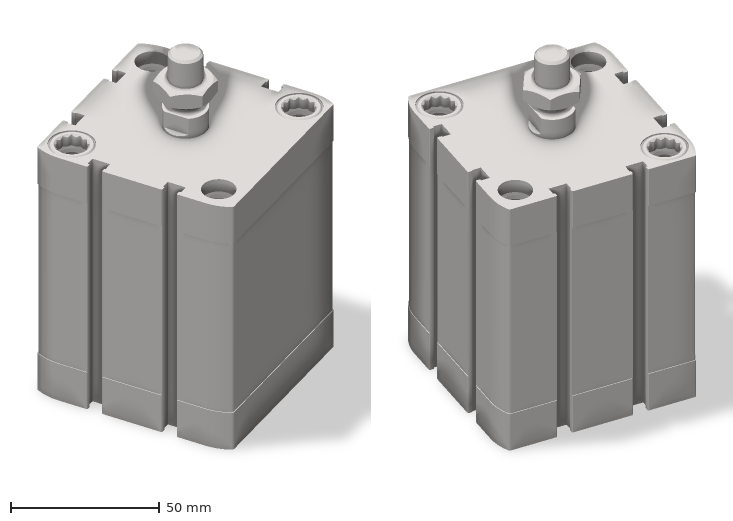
import cadquery as cq
import math

CAP_SIDE = 75.5
BARREL_SIDE = 75.0
HOUSING_HEIGHT = 99.0
CAP_HEIGHT = 15.0
CORNER_RISE = 2.4
CORNER_RUN = 9.45
EDGE_ROUND = 1.0

SLOT_CENTRE = 14.5
SLOT_WIDTH = 6.8
SLOT_DEPTH = 5.1
MOUTH_CENTRE = 14.35
MOUTH_WIDTH = 5.6
LIP_CHAMFER = 0.3
LIP_DEPTH = 1.75

HOLE_SPACING = 56.5
HOLE_DIA = 6.65
HOLE_CHAMFER_DIA = 8.57
COUNTERBORE_DIA = 12.0
COUNTERBORE_DEPTH = 5.0

HEAD_DIA = 15.5
HEAD_CHAMFER = 0.5
HEAD_POCKET_DIA = 16.4
SOCKET_POINTS = 12
SOCKET_MOUTH_DIA = 12.4
SOCKET_OUTER_DIA = 12.0
SOCKET_INNER_DIA = 10.65
SOCKET_DEPTH = 4.5

ROD_DIA = 16.0
ROD_COLLAR_HEIGHT = 8.0
FLAT_WIDTH = 13.0
FLAT_BASE = 1.5
FLAT_RUNOUT = 0.8
THREAD_DIA = 12.0
THREAD_LENGTH = 22.0
THREAD_CHAMFER = 0.9
NECK_DIA = 10.2
NECK_FILLET = 1.0
NECK_LENGTH = 1.6
NECK_CONE_LENGTH = 2.8

NUT_ACROSS_FLATS = 19.0
NUT_HEIGHT = 6.0
NUT_STANDOFF = 13.0
NUT_FACE_DIA = 19.0
NUT_BASE = HOUSING_HEIGHT + NUT_STANDOFF
NUT_CHAMFER_ANGLE = math.radians(30)

HALF_PITCH = HOLE_SPACING / 2
PLAIN_CORNERS = [(-HALF_PITCH, HALF_PITCH), (HALF_PITCH, -HALF_PITCH)]
SCREW_CORNERS = [(-HALF_PITCH, -HALF_PITCH), (HALF_PITCH, HALF_PITCH)]


def housing_section(side, base, height):
    """Square prism whose corners are arcs tangent to the Y faces only."""
    half = side / 2
    run = CORNER_RUN - (CAP_SIDE - side) / 2
    radius = (run**2 + CORNER_RISE**2) / (2 * CORNER_RISE)
    inner = half - run
    outer = half - CORNER_RISE
    outline = (
        cq.Workplane("XY", origin=(0, 0, base))
        .moveTo(-inner, -half)
        .lineTo(inner, -half)
        .radiusArc((half, -outer), -radius)
        .lineTo(half, outer)
        .radiusArc((inner, half), -radius)
        .lineTo(-inner, half)
        .radiusArc((-half, outer), -radius)
        .lineTo(-half, -outer)
        .radiusArc((-inner, -half), -radius)
        .close()
    )
    prism = outline.extrude(height)
    corner_edges = cq.selectors.BoxSelector(
        (half - EDGE_ROUND, -half, base), (half + EDGE_ROUND, half, base + height)
    ) + cq.selectors.BoxSelector(
        (-half - EDGE_ROUND, -half, base), (-half + EDGE_ROUND, half, base + height)
    )
    return prism.edges("|Z").edges(corner_edges).fillet(EDGE_ROUND)


def t_slot(turn, side_sign):
    """T-slot cutter for the -Y face, turned about Z onto another face."""
    half = CAP_SIDE / 2
    groove_depth = SLOT_DEPTH - LIP_DEPTH
    groove = cq.Workplane("XY").box(
        SLOT_WIDTH, groove_depth, HOUSING_HEIGHT, centered=(True, False, False)
    ).translate((side_sign * SLOT_CENTRE, -half + LIP_DEPTH, 0))
    neck = MOUTH_WIDTH / 2
    flare = neck + LIP_CHAMFER
    mouth = (
        cq.Workplane("XY")
        .polyline([
            (-flare, -half),
            (flare, -half),
            (neck, -half + LIP_CHAMFER),
            (neck, -half + LIP_DEPTH),
            (-neck, -half + LIP_DEPTH),
            (-neck, -half + LIP_CHAMFER),
        ])
        .close()
        .extrude(HOUSING_HEIGHT)
        .translate((side_sign * MOUTH_CENTRE, 0, 0))
    )
    return groove.union(mouth).rotate((0, 0, 0), (0, 0, 1), turn)


def through_hole(floor_depth):
    """Hole through the housing, chamfered where it leaves a floor below the top."""
    floor = HOUSING_HEIGHT - floor_depth
    radius = HOLE_DIA / 2
    mouth_radius = HOLE_CHAMFER_DIA / 2
    return (
        cq.Workplane("XZ")
        .polyline([
            (0, 0),
            (radius, 0),
            (radius, floor - (mouth_radius - radius)),
            (mouth_radius, floor),
            (0, floor),
        ])
        .close()
        .revolve(360, (0, 0, 0), (0, 1, 0))
    )


def counterbored_hole():
    bore = (
        cq.Workplane("XY", origin=(0, 0, HOUSING_HEIGHT - COUNTERBORE_DEPTH))
        .circle(COUNTERBORE_DIA / 2)
        .extrude(COUNTERBORE_DEPTH)
    )
    return through_hole(COUNTERBORE_DEPTH).union(bore)


def screw_head_cut():
    """Ring groove around a chamfered head, countersunk star socket and through hole."""
    head_radius = HEAD_DIA / 2
    pocket_radius = HEAD_POCKET_DIA / 2
    groove_floor = HOUSING_HEIGHT - HEAD_CHAMFER
    groove = (
        cq.Workplane("XZ")
        .polyline([
            (head_radius - HEAD_CHAMFER, HOUSING_HEIGHT),
            (head_radius, groove_floor),
            (pocket_radius, groove_floor),
            (pocket_radius, HOUSING_HEIGHT),
        ])
        .close()
        .revolve(360, (0, 0, 0), (0, 1, 0))
    )
    star = []
    for i in range(2 * SOCKET_POINTS):
        radius = (SOCKET_OUTER_DIA if i % 2 == 0 else SOCKET_INNER_DIA) / 2
        angle = math.pi * i / SOCKET_POINTS
        star.append((radius * math.cos(angle), radius * math.sin(angle)))
    socket = (
        cq.Workplane("XY", origin=(0, 0, HOUSING_HEIGHT - SOCKET_DEPTH))
        .polyline(star)
        .close()
        .extrude(SOCKET_DEPTH)
    )
    mouth_radius = SOCKET_MOUTH_DIA / 2
    throat_radius = SOCKET_INNER_DIA / 2
    throat = HOUSING_HEIGHT - (mouth_radius - throat_radius)
    countersink = (
        cq.Workplane("XZ")
        .polyline([
            (0, HOUSING_HEIGHT),
            (mouth_radius, HOUSING_HEIGHT),
            (throat_radius, throat),
            (0, throat),
        ])
        .close()
        .revolve(360, (0, 0, 0), (0, 1, 0))
    )
    return through_hole(SOCKET_DEPTH).union(socket).union(countersink).union(groove)


def make_housing():
    barrel_height = HOUSING_HEIGHT - 2 * CAP_HEIGHT
    body = housing_section(CAP_SIDE, 0, CAP_HEIGHT)
    body = body.union(housing_section(BARREL_SIDE, CAP_HEIGHT, barrel_height))
    body = body.union(housing_section(CAP_SIDE, HOUSING_HEIGHT - CAP_HEIGHT, CAP_HEIGHT))
    for turn in (0, -90, 180):
        for side_sign in (-1, 1):
            body = body.cut(t_slot(turn, side_sign))
    for x, y in PLAIN_CORNERS:
        body = body.cut(counterbored_hole().translate((x, y, 0)))
    for x, y in SCREW_CORNERS:
        body = body.cut(screw_head_cut().translate((x, y, 0)))
    return body


def make_rod():
    """Stepped rod: collar with two flats, undercut neck and threaded end."""
    collar_top = HOUSING_HEIGHT + ROD_COLLAR_HEIGHT
    neck_top = collar_top + NECK_LENGTH
    rod_top = collar_top + THREAD_LENGTH
    rod = (
        cq.Workplane("XZ")
        .moveTo(0, HOUSING_HEIGHT)
        .lineTo(ROD_DIA / 2, HOUSING_HEIGHT)
        .lineTo(ROD_DIA / 2, collar_top)
        .lineTo(NECK_DIA / 2 + NECK_FILLET, collar_top)
        .radiusArc((NECK_DIA / 2, collar_top + NECK_FILLET), NECK_FILLET)
        .lineTo(NECK_DIA / 2, neck_top)
        .lineTo(THREAD_DIA / 2, neck_top + NECK_CONE_LENGTH)
        .lineTo(THREAD_DIA / 2, rod_top - THREAD_CHAMFER)
        .lineTo(THREAD_DIA / 2 - THREAD_CHAMFER, rod_top)
        .lineTo(0, rod_top)
        .close()
        .revolve(360, (0, 0, 0), (0, 1, 0))
    )
    flat_base = HOUSING_HEIGHT + FLAT_BASE
    flat_cut = (
        cq.Workplane("YZ")
        .polyline([
            (FLAT_WIDTH / 2, collar_top),
            (FLAT_WIDTH / 2, flat_base),
            (ROD_DIA / 2, flat_base - FLAT_RUNOUT),
            (ROD_DIA / 2, collar_top),
        ])
        .close()
        .extrude(ROD_DIA / 2, both=True)
    )
    return rod.cut(flat_cut).cut(flat_cut.mirror("XZ"))


def make_nut():
    """Hexagon nut with corners on the Y axis, chamfered at both ends."""
    corner_dia = NUT_ACROSS_FLATS / math.cos(math.pi / 6)
    chamfer_run = (corner_dia - NUT_FACE_DIA) / 2
    chamfer_height = chamfer_run * math.tan(NUT_CHAMFER_ANGLE)
    hexagon = (
        cq.Workplane("XY", origin=(0, 0, NUT_BASE))
        .polygon(6, corner_dia)
        .extrude(NUT_HEIGHT)
        .rotate((0, 0, 0), (0, 0, 1), 90)
    )
    envelope = (
        cq.Workplane("XY", origin=(0, 0, NUT_BASE))
        .circle(corner_dia / 2)
        .extrude(NUT_HEIGHT)
        .faces("<Z or >Z")
        .chamfer(chamfer_height, chamfer_run)
    )
    bore = (
        cq.Workplane("XY", origin=(0, 0, NUT_BASE))
        .circle(THREAD_DIA / 2)
        .extrude(NUT_HEIGHT)
    )
    return hexagon.intersect(envelope).cut(bore)


housing = make_housing()
piston_rod = make_rod()
nut = make_nut()

result = cq.Compound.makeCompound([housing.val(), piston_rod.val(), nut.val()])